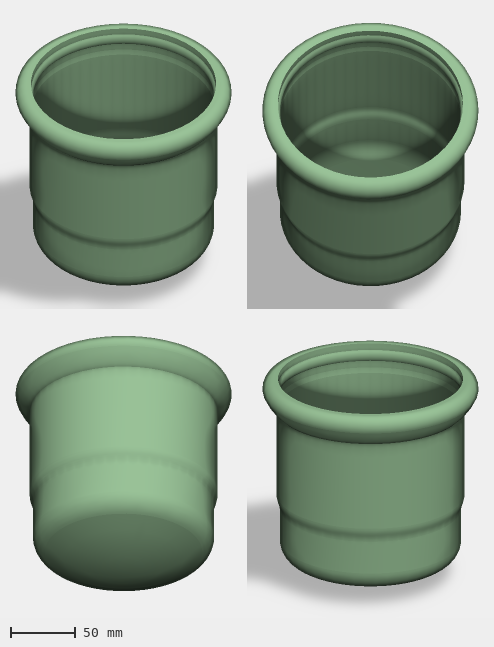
import math

import cadquery as cq

WALL = 2.0
BODY_RADIUS = 145.0 / 2
LOWER_RADIUS = 139.7 / 2
MOUTH_RADIUS = 142.5 / 2
TOTAL_HEIGHT = 161.45

RIM_FLAT_RADIUS = 75.0
RIM_ROLL_RADIUS = 8.15
RIM_ROLL_END_Z = -11.6
RIM_BOTTOM_Z = -24.5

BEAD_TOP_Z = -5.5
BEAD_HEIGHT = 9.0
BEAD_DEPTH = 1.8
STEP_TOP_Z = -20.0
STEP_BOTTOM_Z = -24.3

NECK_TOP_Z = -95.0
NECK_HEIGHT = 12.0

CROWN_RADIUS = 142.0
KNUCKLE_RADIUS = 16.0

NECK_BOTTOM_Z = NECK_TOP_Z - NECK_HEIGHT
NECK_HALF_STEP = (BODY_RADIUS - LOWER_RADIUS) / 2
NECK_BEND_RADIUS = ((NECK_HEIGHT / 2) ** 2 + NECK_HALF_STEP**2) / (2 * NECK_HALF_STEP)
NECK_ANGLE = math.asin(NECK_HEIGHT / 2 / NECK_BEND_RADIUS)
CROWN_CENTER_Z = CROWN_RADIUS - TOTAL_HEIGHT
KNUCKLE_CENTER_R = LOWER_RADIUS - KNUCKLE_RADIUS
CROWN_ANGLE = math.asin(KNUCKLE_CENTER_R / (CROWN_RADIUS - KNUCKLE_RADIUS))
KNUCKLE_CENTER_Z = CROWN_CENTER_Z - (CROWN_RADIUS - KNUCKLE_RADIUS) * math.cos(CROWN_ANGLE)


def point_on_circle(center_r, center_z, radius, angle):
    """Point at an angle (radians) measured from the outward radial direction."""
    return (center_r + radius * math.cos(angle), center_z + radius * math.sin(angle))


def arc_to(profile, center_r, center_z, radius, start_angle, end_angle):
    """Extend the profile along a circle, from start_angle to end_angle."""
    middle = point_on_circle(center_r, center_z, radius, (start_angle + end_angle) / 2)
    end = point_on_circle(center_r, center_z, radius, end_angle)
    return profile.threePointArc(middle, end)


def add_neck_and_dome(profile, inset):
    """Continue from the body wall down to the axis, set inward by the given inset."""
    profile = profile.lineTo(BODY_RADIUS - inset, NECK_TOP_Z)
    upper_center_r = BODY_RADIUS - NECK_BEND_RADIUS
    lower_center_r = LOWER_RADIUS + NECK_BEND_RADIUS
    profile = arc_to(profile, upper_center_r, NECK_TOP_Z, NECK_BEND_RADIUS - inset, 0, -NECK_ANGLE)
    profile = arc_to(
        profile, lower_center_r, NECK_BOTTOM_Z, NECK_BEND_RADIUS + inset, math.pi - NECK_ANGLE, math.pi
    )

    profile = profile.lineTo(LOWER_RADIUS - inset, KNUCKLE_CENTER_Z)
    crown_start = CROWN_ANGLE - math.pi / 2
    profile = arc_to(
        profile, KNUCKLE_CENTER_R, KNUCKLE_CENTER_Z, KNUCKLE_RADIUS - inset, 0, crown_start
    )
    return arc_to(profile, 0, CROWN_CENTER_Z, CROWN_RADIUS - inset, crown_start, -math.pi / 2)


def revolve_profile(profile):
    """Close the half profile and revolve it about the Z axis."""
    return profile.close().revolve(360, (0, 0, 0), (0, 1, 0))


def outer_body():
    """Solid envelope with the rolled rim, neck and domed bottom."""
    profile = cq.Workplane("XZ").moveTo(0, 0).lineTo(RIM_FLAT_RADIUS, 0)
    roll_end_angle = math.asin((RIM_ROLL_END_Z + RIM_ROLL_RADIUS) / RIM_ROLL_RADIUS)
    profile = arc_to(
        profile, RIM_FLAT_RADIUS, -RIM_ROLL_RADIUS, RIM_ROLL_RADIUS, math.pi / 2, roll_end_angle
    )
    profile = profile.tangentArcPoint((BODY_RADIUS, RIM_BOTTOM_Z), relative=False)
    return revolve_profile(add_neck_and_dome(profile, 0))


def cavity():
    """Interior space: beaded mouth, step, and a wall parallel to the outside."""
    bead_middle = (MOUTH_RADIUS - BEAD_DEPTH, BEAD_TOP_Z - BEAD_HEIGHT / 2)
    bead_end = (MOUTH_RADIUS, BEAD_TOP_Z - BEAD_HEIGHT)
    profile = (
        cq.Workplane("XZ")
        .moveTo(0, 0)
        .lineTo(MOUTH_RADIUS, 0)
        .lineTo(MOUTH_RADIUS, BEAD_TOP_Z)
        .threePointArc(bead_middle, bead_end)
        .lineTo(MOUTH_RADIUS, STEP_TOP_Z)
        .lineTo(BODY_RADIUS - WALL, STEP_BOTTOM_Z)
    )
    return revolve_profile(add_neck_and_dome(profile, WALL))


result = outer_body().cut(cavity())